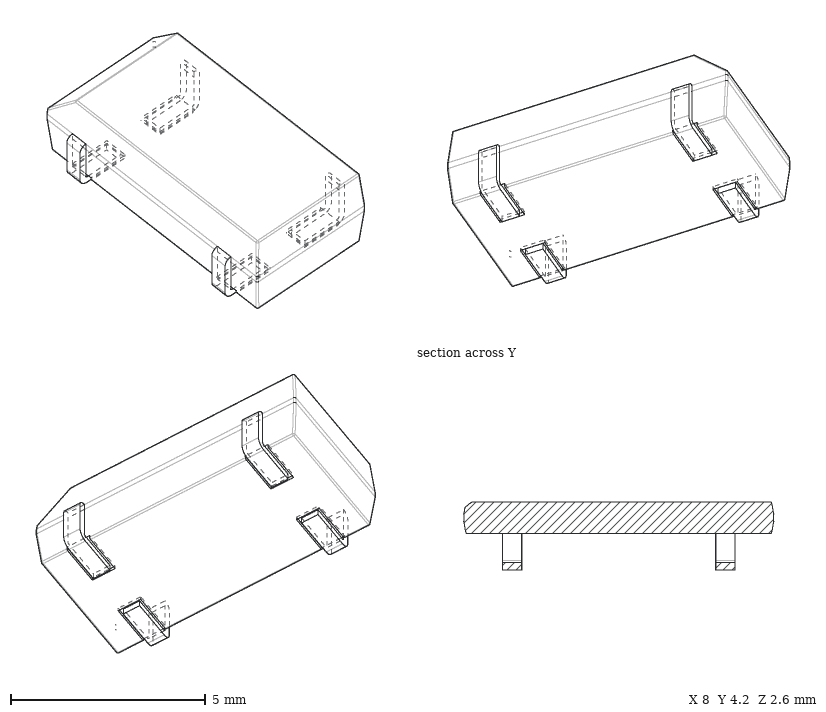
import cadquery as cq
import math

body_length = 8.0
body_width = 3.8
total_height = 2.6
draft_angle = 5.0
edge_radius = 0.05
bevel_run = 1.0

lead_thickness = 0.2
lead_width = 0.5
lead_end_inset = 1.0
lead_bend_radius = 0.25
foot_length = 1.4
embed_depth = 0.2
foot_clearance = 0.1

standoff = lead_thickness / 2

band_middle = (standoff + total_height) / 2
band_bottom = band_middle - lead_thickness / 2
band_top = band_middle + lead_thickness / 2
lead_outer_y = body_width / 2 + lead_thickness
lead_pitch = body_length - 2 * lead_end_inset - lead_width
foot_tip_y = lead_outer_y - foot_length


def drafted_half(start_z, height):
    """Body block that narrows away from the parting band; negative height goes down."""
    return (
        cq.Workplane("XY", origin=(0, 0, start_z))
        .rect(body_length, body_width)
        .extrude(height, taper=draft_angle)
    )


def end_bevel():
    """Wedge removed along the top edge at the -X end."""
    left = -body_length / 2
    return (
        cq.Workplane("XZ")
        .moveTo(left, total_height - bevel_run)
        .lineTo(left, total_height)
        .lineTo(left + bevel_run, total_height)
        .close()
        .extrude(body_width / 2, both=True)
    )


def make_body():
    """Upper half, parting band and lower half, rounded everywhere but at the parting lines."""
    upper = drafted_half(band_top, total_height - band_top).cut(end_bevel())
    lower = drafted_half(band_bottom, standoff - band_bottom)
    band = (
        cq.Workplane("XY", origin=(0, 0, band_bottom))
        .rect(body_length, body_width)
        .extrude(lead_thickness)
        .edges("|Z")
        .fillet(edge_radius)
    )
    rounded_upper = upper.edges("not <Z").fillet(edge_radius)
    rounded_lower = lower.edges("not >Z").fillet(edge_radius)
    return band.union(rounded_upper).union(rounded_lower)


def make_lead():
    """Lead on the +Y side at X = 0: out of the body, down, and under it."""
    inner_y = lead_outer_y - lead_thickness
    inner_bend_radius = lead_bend_radius - lead_thickness
    bend_y = lead_outer_y - lead_bend_radius
    diagonal = math.sqrt(0.5)
    return (
        cq.Workplane("YZ")
        .moveTo(inner_y - embed_depth, band_top)
        .lineTo(inner_y, band_top)
        .threePointArc(
            (inner_y + lead_thickness * diagonal, band_bottom + lead_thickness * diagonal),
            (lead_outer_y, band_bottom),
        )
        .lineTo(lead_outer_y, lead_bend_radius)
        .threePointArc(
            (bend_y + lead_bend_radius * diagonal, lead_bend_radius * (1 - diagonal)),
            (bend_y, 0),
        )
        .lineTo(foot_tip_y, 0)
        .lineTo(foot_tip_y, lead_thickness)
        .lineTo(bend_y, lead_thickness)
        .threePointArc(
            (bend_y + inner_bend_radius * diagonal, lead_bend_radius - inner_bend_radius * diagonal),
            (inner_y, lead_bend_radius),
        )
        .lineTo(inner_y, band_bottom)
        .lineTo(inner_y - embed_depth, band_bottom)
        .close()
        .extrude(lead_width / 2, both=True)
    )


def make_foot_pocket():
    """Underside recess around the +Y foot at X = 0, open through the side wall."""
    pocket_end_y = foot_tip_y - foot_clearance
    return cq.Workplane("XY").box(
        lead_width + 2 * foot_clearance,
        lead_outer_y - pocket_end_y,
        lead_thickness,
        centered=(True, False, False),
    ).translate((0, pocket_end_y, 0))


def at_four_corners(shape):
    """Copies of a +Y side shape at both lead stations on both long sides."""
    pair = [shape.translate((side * lead_pitch / 2, 0, 0)) for side in (-1, 1)]
    return pair + [item.mirror("XZ") for item in pair]


result = make_body()
for pocket in at_four_corners(make_foot_pocket()):
    result = result.cut(pocket)
for lead in at_four_corners(make_lead()):
    result = result.union(lead)